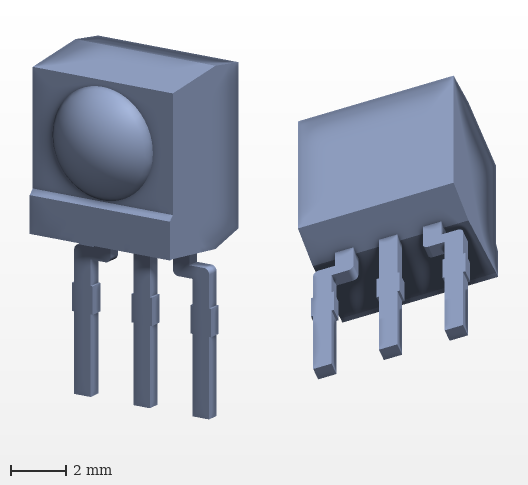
import cadquery as cq
import math

total_height = 13.34

body_width = 6.0
body_depth = 4.4
ridge_y = 1.53
ridge_bottom_z = 6.4
edge_bottom_z = 6.78
back_top_z = total_height - 0.27
front_top_z = total_height - 0.3

rib_depth = 0.2
rib_top_z = 8.45
rib_bevel = 0.2

lens_z = 10.65
lens_rim_radius = 2.15
lens_height = 5.6 - body_depth

lead_pitch = 2.53
lead_width = 0.71
lead_thickness = 0.51
lead_embed = 0.27
root_offset = 1.7
jog_top_z = 5.7
jog_bottom_z = 5.2
bend_radius = 0.21
pad_width = 0.88
pad_top_z = 4.2
pad_bottom_z = 3.12


def make_body():
    """Six-sided profile with ridged ends, extruded across the width."""
    profile = [
        (0, edge_bottom_z),
        (-ridge_y, ridge_bottom_z),
        (-body_depth, edge_bottom_z),
        (-body_depth, front_top_z),
        (-ridge_y, total_height),
        (0, back_top_z),
    ]
    return cq.Workplane("YZ").polyline(profile).close().extrude(body_width / 2, both=True)


def make_rib():
    """Flat-bottomed front rib with a bevelled upper edge."""
    front_y = -body_depth - rib_depth
    profile = [
        (-body_depth, edge_bottom_z),
        (front_y, edge_bottom_z),
        (front_y, rib_top_z - rib_bevel),
        (-body_depth, rib_top_z),
        (-ridge_y, rib_top_z),
        (-ridge_y, edge_bottom_z),
    ]
    return cq.Workplane("YZ").polyline(profile).close().extrude(body_width / 2, both=True)


def make_lens():
    """Spherical cap on the front face; the rest of the ball lies inside the body."""
    ball_radius = (lens_rim_radius**2 + lens_height**2) / (2 * lens_height)
    center_y = -body_depth - lens_height + ball_radius
    ball = cq.Workplane("XY").sphere(ball_radius).translate((0, center_y, lens_z))
    front_region = cq.Workplane("XY").box(
        body_width, body_depth, total_height, centered=(True, False, False)
    ).translate((0, -2 * body_depth, 0))
    return ball.intersect(front_region)


def lead_bar(center_x, width, bottom_z, top_z):
    """Upright bar in the lead plane."""
    return (
        cq.Workplane("XY", origin=(center_x, -ridge_y, bottom_z))
        .rect(width, lead_thickness)
        .extrude(top_z - bottom_z)
    )


def lead_pad(center_x):
    """Widened stop part-way down a lead."""
    return lead_bar(center_x, pad_width, pad_bottom_z, pad_top_z)


def make_middle_lead():
    return lead_bar(0, lead_width, 0, ridge_bottom_z + lead_embed).union(lead_pad(0))


def make_outer_lead(side):
    """Lead that jogs outwards; side is -1 or +1."""
    half = lead_width / 2
    root_in = side * (root_offset - half)
    root_out = side * (root_offset + half)
    tip_in = side * (lead_pitch - half)
    tip_out = side * (lead_pitch + half)
    root_top_z = ridge_bottom_z + lead_embed
    arc_inset = bend_radius * (1 - math.sqrt(0.5))
    strip = (
        cq.Workplane("XZ", origin=(0, -ridge_y, 0))
        .moveTo(tip_in, 0)
        .lineTo(tip_out, 0)
        .lineTo(tip_out, jog_top_z - bend_radius)
        .threePointArc(
            (tip_out - side * arc_inset, jog_top_z - arc_inset),
            (tip_out - side * bend_radius, jog_top_z),
        )
        .lineTo(root_out, jog_top_z)
        .lineTo(root_out, root_top_z)
        .lineTo(root_in, root_top_z)
        .lineTo(root_in, jog_bottom_z + bend_radius)
        .threePointArc(
            (root_in + side * arc_inset, jog_bottom_z + arc_inset),
            (root_in + side * bend_radius, jog_bottom_z),
        )
        .lineTo(tip_in, jog_bottom_z)
        .close()
        .extrude(lead_thickness / 2, both=True)
    )
    return strip.union(lead_pad(side * lead_pitch))


result = make_body().union(make_rib()).union(make_lens()).union(make_middle_lead())
for side in (-1, 1):
    result = result.union(make_outer_lead(side))